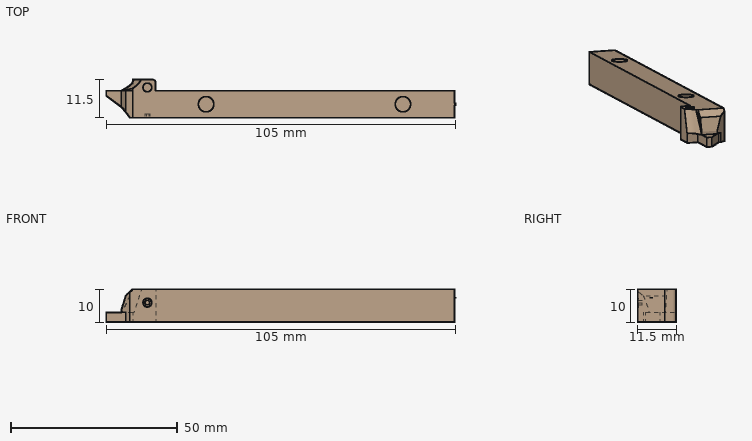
import cadquery as cq

LENGTH = 105.0
WIDTH = 11.5
HEIGHT = 10.0
SHANK_WIDTH = 8.2
END_MARK_LENGTH = 0.3
SHANK_END = LENGTH - END_MARK_LENGTH

BLADE_HEIGHT = 2.9
TIP_EDGE_Y = 6.6
BLADE_ROOT_X = 5.9
BLADE_ROOT_Y = 2.3

NOSE_X = 4.6
NOSE_SIDE_Y = 3.3
NOSE_STEP_Z = 3.9
NOSE_CHAMFER_X = 5.9
NOSE_CHAMFER_Z = 8.0
NOSE_TOP_X = 8.0
CORNER_X = 6.4
CORNER_Y = 1.0
SIDE_START_X = 7.1

LUG_BACK_X = 14.9
LUG_OUTER_X = 8.3
LUG_FOOT_X = 8.0
LUG_BEND = (6.7, 9.5)
LUG_TOP_SHIFT = 2.3
LUG_TOP_START = (NOSE_TOP_X, 8.8)
LUG_TOP_BEND = (9.0, 9.7)
LUG_CORNER_RADIUS = 1.0

RECESS_DEPTH = 0.1
SHANK_RECESS_XS = (30.0, 89.1)
SHANK_RECESS_DIAMETER = 4.6
LUG_RECESS_X = 12.4
LUG_RECESS_Y = 9.1
SMALL_DIAMETER = 2.6

SIDE_HOLE_Z = 5.9
SIDE_HOLE_DEPTH = 0.2
SOCKET_ACROSS_CORNERS = 1.6
SOCKET_DEPTH = 1.0

END_MARK_WIDTH = 0.6
END_MARK_HEIGHT = 0.1
END_MARK_Z = 7.4


def make_bar():
    """Shank and nose, undercut in front to seat the blade."""
    profile = (
        cq.Workplane("XZ")
        .polyline([
            (NOSE_X, 0),
            (NOSE_X, NOSE_STEP_Z),
            (NOSE_CHAMFER_X, NOSE_CHAMFER_Z),
            (NOSE_TOP_X, HEIGHT),
            (SHANK_END, HEIGHT),
            (SHANK_END, 0),
        ])
        .close()
        .extrude(-SHANK_WIDTH)
    )
    plan = (
        cq.Workplane("XY")
        .polyline([
            (NOSE_X, SHANK_WIDTH),
            (NOSE_X, NOSE_SIDE_Y),
            (CORNER_X, CORNER_Y),
            (SIDE_START_X, 0),
            (SHANK_END, 0),
            (SHANK_END, SHANK_WIDTH),
        ])
        .close()
        .extrude(HEIGHT)
    )
    blade_seat = (
        cq.Workplane("XY")
        .box(BLADE_ROOT_X, SHANK_WIDTH, BLADE_HEIGHT, centered=False)
    )
    return profile.intersect(plan).cut(blade_seat)


def make_blade():
    """Low pointed blade that widens into the nose."""
    return (
        cq.Workplane("XY")
        .polyline([
            (0, SHANK_WIDTH),
            (0, TIP_EDGE_Y),
            (BLADE_ROOT_X, BLADE_ROOT_Y),
            (SIDE_START_X, BLADE_ROOT_Y),
            (SIDE_START_X, SHANK_WIDTH),
        ])
        .close()
        .extrude(BLADE_HEIGHT)
    )


def close_lug_outline(outline):
    """Finish a lug outline along its outer side, rounded corner and back."""
    return (
        outline
        .lineTo(LUG_BACK_X - LUG_CORNER_RADIUS, WIDTH)
        .tangentArcPoint((LUG_BACK_X, WIDTH - LUG_CORNER_RADIUS), relative=False)
        .lineTo(LUG_BACK_X, SHANK_WIDTH / 2)
        .close()
    )


def make_lug():
    """Side lug with an upright foot and a curved front that leans back above it."""
    foot_outline = (
        cq.Workplane("XY")
        .moveTo(LUG_FOOT_X, SHANK_WIDTH / 2)
        .lineTo(LUG_FOOT_X, WIDTH)
    )
    foot = close_lug_outline(foot_outline).extrude(BLADE_HEIGHT)

    lower_outline = (
        cq.Workplane("XY", origin=(0, 0, BLADE_HEIGHT))
        .moveTo(NOSE_TOP_X, SHANK_WIDTH / 2)
        .lineTo(NOSE_X, SHANK_WIDTH)
        .lineTo(*LUG_BEND)
        .tangentArcPoint((LUG_OUTER_X, WIDTH), relative=False)
    )
    upper_outline = (
        close_lug_outline(lower_outline)
        .workplane(offset=HEIGHT - BLADE_HEIGHT)
        .moveTo(NOSE_TOP_X, SHANK_WIDTH / 2)
        .lineTo(*LUG_TOP_START)
        .lineTo(*LUG_TOP_BEND)
        .tangentArcPoint((LUG_OUTER_X + LUG_TOP_SHIFT, WIDTH), relative=False)
    )
    upper = close_lug_outline(upper_outline).loft(ruled=True)
    return foot.union(upper)


def make_top_recess(x, y, diameter):
    return (
        cq.Workplane("XY", origin=(x, y, HEIGHT - RECESS_DEPTH))
        .circle(diameter / 2)
        .extrude(RECESS_DEPTH)
    )


def make_side_hole():
    """Round hole in the plain side with a hexagonal socket at its bottom."""
    side = cq.Workplane("XZ", origin=(LUG_RECESS_X, 0, SIDE_HOLE_Z))
    hole = side.circle(SMALL_DIAMETER / 2).extrude(-SIDE_HOLE_DEPTH)
    socket = side.polygon(6, SOCKET_ACROSS_CORNERS).extrude(-SIDE_HOLE_DEPTH - SOCKET_DEPTH)
    return hole.union(socket)


def make_end_mark():
    return cq.Workplane("XY").box(
        2 * END_MARK_LENGTH, END_MARK_WIDTH, END_MARK_HEIGHT
    ).translate((SHANK_END, SHANK_WIDTH / 2, END_MARK_Z))


result = make_bar().union(make_blade()).union(make_lug()).union(make_end_mark())
for recess_x in SHANK_RECESS_XS:
    result = result.cut(make_top_recess(recess_x, SHANK_WIDTH / 2, SHANK_RECESS_DIAMETER))
result = result.cut(make_top_recess(LUG_RECESS_X, LUG_RECESS_Y, SMALL_DIAMETER))
result = result.cut(make_side_hole())